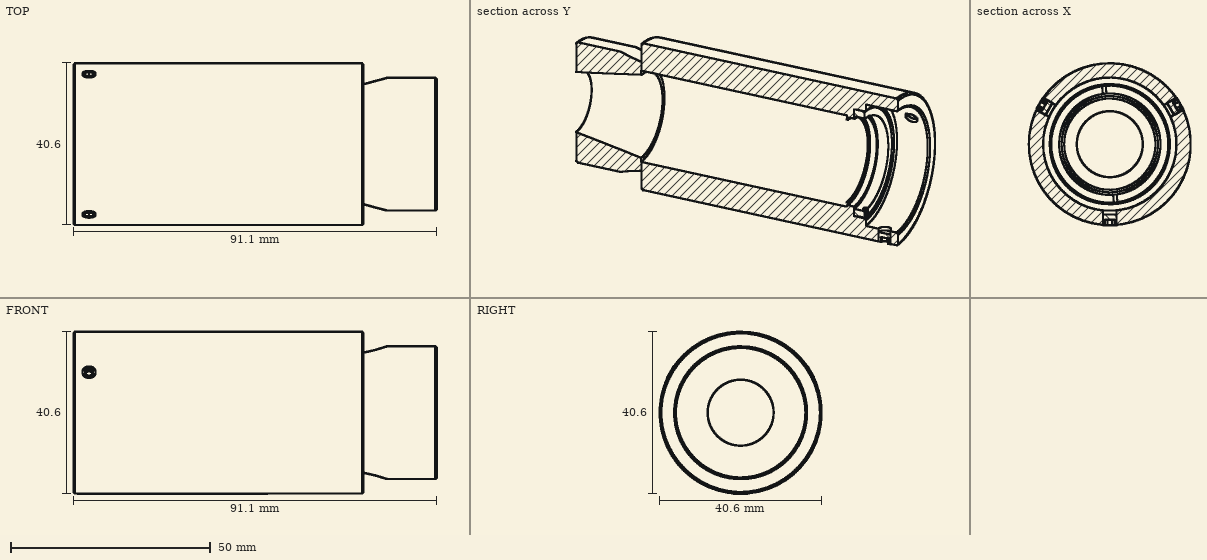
import cadquery as cq
import math

total_length = 91.1
housing_length = 72.7
housing_radius = 40.6 / 2
edge_chamfer = 0.5
socket_radius = 33.3 / 2
socket_depth = 9.1

ring_radius = 29.3 / 2
seat_entry_radius = 30.15 / 2
seat_chamfer = seat_entry_radius - ring_radius
ring_start = socket_depth + seat_chamfer
ring_end = 12.5
relief_radius = 24.1 / 2
relief_end = 14.3
lip_radius = 22.9 / 2
lip_end = 14.7
barrel_bore_radius = 25.05 / 2

ring_bore_radius = 25.4 / 2
slot_width = 0.9
slot_depth = 0.9
slot_tilt = -5.8

funnel_entry_radius = lip_radius
exit_radius = 16.5 / 2
neck_radius = 30.15 / 2
head_radius = socket_radius
head_start = 78.6

screw_radius = 3.3 / 2
screw_position = 3.9
screw_angles = (30, 150, 270)
screw_length = 2.7
hex_across_flats = 2.0
hex_depth = 1.4
hex_corner_diameter = hex_across_flats / math.cos(math.pi / 6)
corner_turn = 90


def revolve_about_x(profile):
    """Revolve (x, radius) points about the X axis."""
    return cq.Workplane("XY").polyline(profile).close().revolve(360, (0, 0, 0), (1, 0, 0))


def radial_plane(angle):
    """Workplane on the axis at the screw position, facing outwards at the given angle."""
    direction = (0, math.cos(math.radians(angle)), math.sin(math.radians(angle)))
    return cq.Workplane(cq.Plane(origin=(screw_position, 0, 0), xDir=(1, 0, 0), normal=direction))


def make_housing():
    body = revolve_about_x([
        (0, socket_radius + edge_chamfer),
        (0, housing_radius - edge_chamfer),
        (edge_chamfer, housing_radius),
        (housing_length - edge_chamfer, housing_radius),
        (housing_length, housing_radius - edge_chamfer),
        (housing_length, barrel_bore_radius),
        (lip_end, barrel_bore_radius),
        (lip_end, lip_radius),
        (relief_end, lip_radius),
        (relief_end, relief_radius),
        (ring_end, relief_radius),
        (ring_end, ring_radius),
        (ring_start, ring_radius),
        (socket_depth, seat_entry_radius),
        (socket_depth, socket_radius),
        (edge_chamfer, socket_radius),
    ])
    for angle in screw_angles:
        body = body.cut(radial_plane(angle).circle(screw_radius).extrude(housing_radius))
    return body


def make_retaining_ring():
    ring = revolve_about_x([
        (ring_start, ring_bore_radius),
        (ring_start, ring_radius),
        (ring_end, ring_radius),
        (ring_end, ring_bore_radius),
    ])
    slot = (
        cq.Workplane("XY")
        .box(slot_depth, slot_width, 2 * ring_radius, centered=(False, True, True))
        .translate((ring_start, 0, 0))
        .rotate((0, 0, 0), (1, 0, 0), slot_tilt)
    )
    return ring.cut(slot)


def make_head():
    return revolve_about_x([
        (housing_length, funnel_entry_radius),
        (housing_length, neck_radius),
        (head_start, head_radius),
        (total_length - edge_chamfer, head_radius),
        (total_length, head_radius - edge_chamfer),
        (total_length, exit_radius),
    ])


def make_set_screw(angle):
    outer_end = radial_plane(angle).workplane(offset=housing_radius)
    screw = outer_end.circle(screw_radius).extrude(-screw_length)
    hexagon = outer_end.transformed(rotate=(0, 0, corner_turn)).polygon(6, hex_corner_diameter)
    socket = hexagon.extrude(-hex_depth)
    return screw.cut(socket)


housing = make_housing()
retaining_ring = make_retaining_ring()
head = make_head()
set_screws = [make_set_screw(angle) for angle in screw_angles]

result = cq.Compound.makeCompound([
    housing.val(),
    retaining_ring.val(),
    head.val(),
    *[screw.val() for screw in set_screws],
])